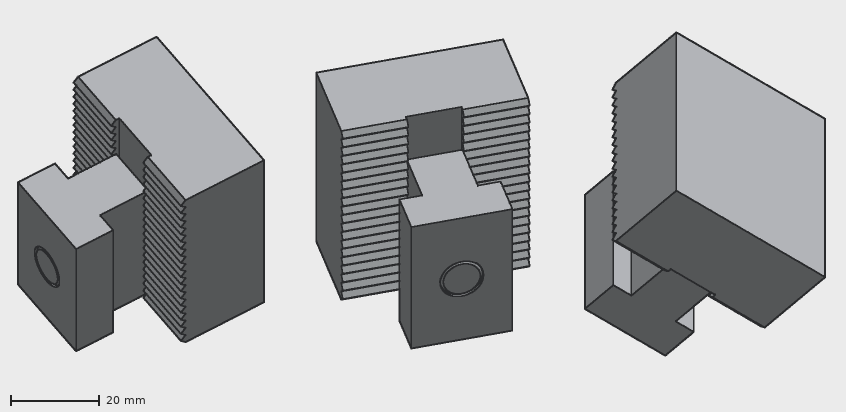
import cadquery as cq

JAW_WIDTH = 44.0
JAW_HEIGHT = 50.0
JAW_DEPTH = 22.65
TOOTH_COUNT = 20
TOOTH_PITCH = JAW_HEIGHT / TOOTH_COUNT
TOOTH_DEPTH = TOOTH_PITCH / 2

SLOT_WIDTH = 13.1
SLOT_DEPTH = 2.2

OVERALL_DEPTH = 44.5
NUT_BOTTOM = 2.0
NUT_HEIGHT = 36.0
NUT_FLOOR_GAP = 0.85
HEAD_WIDTH = 23.8
HEAD_DEPTH = 10.1

SCREW_DIAMETER = 10.0
NUT_HOLE_DIAMETER = 10.2
SCREW_CHAMFER = 0.65

TOOTH_TIP_Y = -JAW_DEPTH
TOOTH_ROOT_Y = TOOTH_TIP_Y + TOOTH_DEPTH
SLOT_FLOOR_Y = TOOTH_TIP_Y + SLOT_DEPTH
NECK_BACK_Y = SLOT_FLOOR_Y - NUT_FLOOR_GAP
NUT_FRONT_Y = -OVERALL_DEPTH
HEAD_BACK_Y = NUT_FRONT_Y + HEAD_DEPTH
SCREW_Z = NUT_BOTTOM + NUT_HEIGHT / 2


def make_block(width, front_y, back_y, bottom_z, height):
    """Box centred on X between two Y levels."""
    return (
        cq.Workplane("XY", origin=(0, (front_y + back_y) / 2, bottom_z))
        .box(width, back_y - front_y, height, centered=(True, True, False))
    )


def make_axial_cylinder(diameter):
    """Cylinder on the screw axis, from the nut front to the slot floor."""
    return (
        cq.Workplane("XZ", origin=(0, SLOT_FLOOR_Y, SCREW_Z))
        .circle(diameter / 2)
        .extrude(SLOT_FLOOR_Y - NUT_FRONT_Y)
    )


def make_jaw():
    """Block with a toothed front, split by the slot."""
    profile = cq.Workplane("YZ", origin=(-JAW_WIDTH / 2, 0, 0))
    profile = profile.moveTo(0, 0).lineTo(TOOTH_ROOT_Y, 0)
    for tooth in range(TOOTH_COUNT):
        root_z = tooth * TOOTH_PITCH
        profile = profile.lineTo(TOOTH_TIP_Y, root_z + TOOTH_PITCH / 2)
        profile = profile.lineTo(TOOTH_ROOT_Y, root_z + TOOTH_PITCH)
    block = profile.lineTo(0, JAW_HEIGHT).close().extrude(JAW_WIDTH)
    slot = make_block(SLOT_WIDTH, TOOTH_TIP_Y, SLOT_FLOOR_Y, 0, JAW_HEIGHT)
    return block.cut(slot)


def make_nut():
    """T-shaped nut with a plain clearance hole for the screw."""
    head = make_block(HEAD_WIDTH, NUT_FRONT_Y, HEAD_BACK_Y, NUT_BOTTOM, NUT_HEIGHT)
    neck = make_block(SLOT_WIDTH, HEAD_BACK_Y, NECK_BACK_Y, NUT_BOTTOM, NUT_HEIGHT)
    return head.union(neck).cut(make_axial_cylinder(NUT_HOLE_DIAMETER))


def make_screw():
    """Screw with a chamfered front end, flush with the nut."""
    return make_axial_cylinder(SCREW_DIAMETER).faces("<Y").chamfer(SCREW_CHAMFER)


jaw = make_jaw()
nut = make_nut()
screw = make_screw()

result = cq.Compound.makeCompound([jaw.val(), nut.val(), screw.val()])